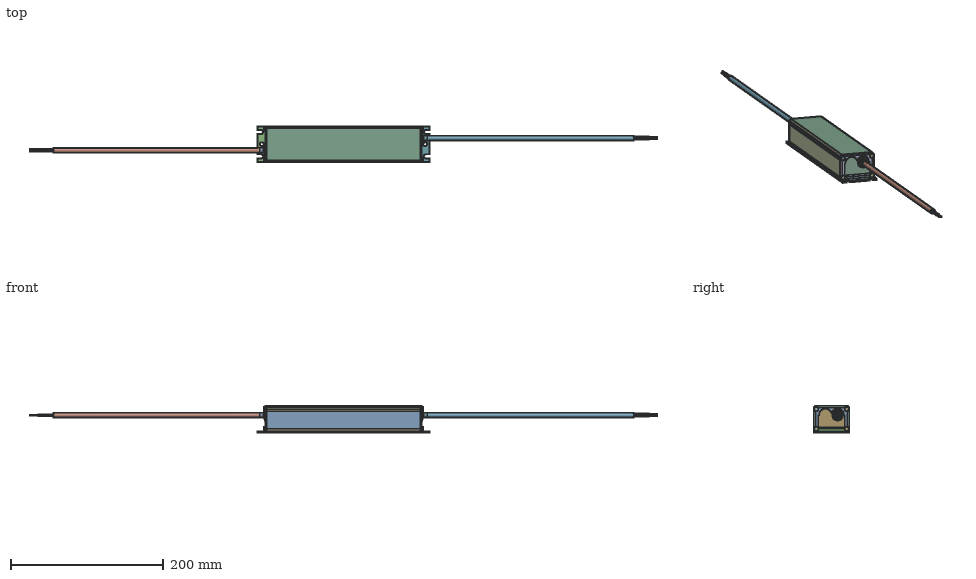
import cadquery as cq
import math

overall_length = 824.0
case_width = 47.0
case_height = 35.5

extrusion_length = 201.4
case_top_chamfer = 2.4
side_groove_spans = ((2.2, 4.9), (28.2, 30.6))
side_groove_depth = 0.5

plate_thickness = 2.1
plate_inset = 0.2
plate_face = extrusion_length / 2 + plate_thickness
flange_end = 113.0
flange_thickness = 2.2
slot_width = 5.0
slot_center_x = 108.0
slot_spacing = 32.0
flange_hole_diameter = 5.0
flange_hole_x = 107.2

frame_half_width = 21.0
frame_bottom = 4.9
frame_top = 33.0
frame_depth = 0.3
relief_depth = 0.6
relief_half_width = 17.5
relief_bottom = 7.4
relief_arch_radius = 8.4

screw_head_diameter = 5.6
screw_head_height = 2.0
screw_y = 20.0
screw_heights = (5.0, 31.0)

cable_y = 8.0
cable_z = 23.0
gland_rim_diameter = 14.0
gland_rim_height = 0.6
gland_ring_diameter = 10.2
gland_ring_height = 0.6
collar_root_diameter = 6.8
collar_root_end = 105.4
collar_diameter = 6.5
collar_end = 110.2

sheath_diameter = 6.5
sheath_end = 381.0
insulation_end = 400.5
conductor_end = overall_length / 2
conductor_diameter = 1.2
wire_diameter = 2.15
core_gap = 0.05


def rod(x_start, x_end, diameter, y, z):
    """Round bar along +X between two stations."""
    return (
        cq.Workplane("YZ", origin=(x_start, y, z))
        .circle(diameter / 2)
        .extrude(x_end - x_start)
    )


def block(x_start, x_end, y_size, z_start, z_end):
    """Box centred on Y = 0."""
    return (
        cq.Workplane("XY", origin=(x_start, 0, z_start))
        .box(x_end - x_start, y_size, z_end - z_start, centered=(False, True, False))
    )


def make_case():
    """Extruded body with chamfered top edges and two long grooves in each side."""
    half_length = extrusion_length / 2
    body = block(-half_length, half_length, case_width, 0, case_height)
    body = body.edges("|X and >Z").chamfer(case_top_chamfer)
    for side in (-1, 1):
        wall_y = side * case_width / 2
        for groove_bottom, groove_top in side_groove_spans:
            groove = block(-half_length, half_length, 2 * side_groove_depth, groove_bottom, groove_top)
            body = body.cut(groove.translate((0, wall_y, 0)))
    return body


def make_relief():
    """Shallow rectangular pocket holding a deeper one with an arch round each cable position."""
    frame = block(plate_face - frame_depth, plate_face, 2 * frame_half_width, frame_bottom, frame_top)
    start = plate_face - relief_depth
    relief = block(start, plate_face, 2 * relief_half_width, relief_bottom, cable_z)
    for y in (-cable_y, cable_y):
        relief = relief.union(rod(start, plate_face, 2 * relief_arch_radius, y, cable_z))
    return relief.union(frame)


def make_end():
    """End plate, flange, screws and cable outlet at the +X end."""
    half_length = extrusion_length / 2
    plate = block(half_length, plate_face, case_width - 2 * plate_inset, 0, case_height - plate_inset)
    plate = plate.edges("|X and >Z").chamfer(case_top_chamfer)
    plate = plate.cut(make_relief())

    flange = block(plate_face, flange_end, case_width, 0, flange_thickness)
    slot_reach = 2 * (flange_end - slot_center_x)
    slots = (
        cq.Workplane("XY")
        .pushPoints([(flange_end, -slot_spacing / 2), (flange_end, slot_spacing / 2)])
        .slot2D(slot_reach + slot_width, slot_width)
        .extrude(flange_thickness)
    )
    flange_hole = (
        cq.Workplane("XY", origin=(flange_hole_x, 0, 0))
        .circle(flange_hole_diameter / 2)
        .extrude(flange_thickness)
    )
    end = plate.union(flange.cut(slots).cut(flange_hole))

    for y in (-screw_y, screw_y):
        for z in screw_heights:
            end = end.union(rod(half_length, plate_face + screw_head_height, screw_head_diameter, y, z))

    rim_face = plate_face + gland_rim_height
    ring_face = rim_face + gland_ring_height
    end = end.union(rod(half_length, rim_face, gland_rim_diameter, cable_y, cable_z))
    end = end.union(rod(half_length, ring_face, gland_ring_diameter, cable_y, cable_z))
    end = end.union(rod(half_length, collar_root_end, collar_root_diameter, cable_y, cable_z))
    return end.union(rod(half_length, collar_end, collar_diameter, cable_y, cable_z))


def half_turn(shape):
    """The same shape at the opposite end of the case."""
    return shape.rotate((0, 0, 0), (0, 0, 1), 180)


def make_housing():
    """Case closed by an identical end at each side, turned half way round."""
    end = make_end()
    return make_case().union(end).union(half_turn(end))


def make_cable(wire_offsets):
    """Cable leaving the +X end, with bared wires at (y, z) offsets from its axis."""
    cable = rod(collar_end, sheath_end, sheath_diameter, cable_y, cable_z)
    for dy, dz in wire_offsets:
        y = cable_y + dy
        z = cable_z + dz
        cable = cable.union(rod(sheath_end, insulation_end, wire_diameter, y, z))
        cable = cable.union(rod(insulation_end, conductor_end, conductor_diameter, y, z))
    return cable


two_core_offset = wire_diameter / 2 + core_gap
two_core_offsets = [(-two_core_offset, 0), (two_core_offset, 0)]
three_core_radius = wire_diameter / math.sqrt(3) + core_gap
three_core_offsets = [
    (three_core_radius * math.cos(angle), three_core_radius * math.sin(angle))
    for angle in (math.radians(degrees) for degrees in (90, 210, 330))
]

housing = make_housing()
output_cable = make_cable(three_core_offsets)
input_cable = half_turn(make_cable(two_core_offsets))

result = cq.Compound.makeCompound([housing.val(), input_cable.val(), output_cable.val()])